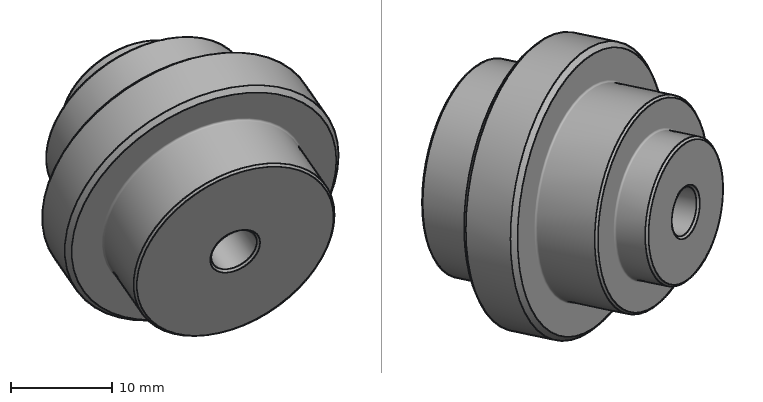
import cadquery as cq

flange_diameter = 30.1
hub_diameter = 22.1
nose_diameter = 15.1
bore_diameter = 5.0

nose_length = 3.73
front_hub_length = 7.0
flange_length = 6.1
rear_hub_length = 6.98

flange_chamfer = 0.5
step_chamfer = 0.25
bore_chamfer = 0.25
root_fillet = 0.2

front_hub_start = nose_length
flange_start = front_hub_start + front_hub_length
flange_end = flange_start + flange_length
rear_end = flange_end + rear_hub_length


def cylinder(start, length, diameter):
    """Solid cylinder along +X."""
    return cq.Workplane("YZ").workplane(offset=start).circle(diameter / 2).extrude(length)


def root_ring(face, direction, diameter):
    """Concave fillet ring where a cylinder leaves a shoulder toward +X (1) or -X (-1)."""
    radius = diameter / 2
    tangent_x = face + direction * root_fillet
    outer_radius = radius + root_fillet
    arc_offset = root_fillet * (1 - 0.5 ** 0.5)
    return (
        cq.Workplane("XY")
        .moveTo(face, radius - root_fillet)
        .lineTo(tangent_x, radius - root_fillet)
        .lineTo(tangent_x, radius)
        .threePointArc((face + direction * arc_offset, radius + arc_offset), (face, outer_radius))
        .close()
        .revolve(360, (0, 0, 0), (1, 0, 0))
    )


nose = cylinder(0, nose_length, nose_diameter).faces("<X").chamfer(step_chamfer)
front_hub = cylinder(front_hub_start, front_hub_length, hub_diameter).faces("<X").chamfer(step_chamfer)
flange = cylinder(flange_start, flange_length, flange_diameter).edges().chamfer(flange_chamfer)
rear_hub = cylinder(flange_end, rear_hub_length, hub_diameter).faces(">X").chamfer(step_chamfer)
body = nose.union(front_hub).union(flange).union(rear_hub)

body = body.union(root_ring(front_hub_start, -1, nose_diameter))
body = body.union(root_ring(flange_start, -1, hub_diameter))
body = body.union(root_ring(flange_end, 1, hub_diameter))

bore = cylinder(0, rear_end, bore_diameter)
body = body.cut(bore)
bore_rims = cq.selectors.BoxSelector(
    (-0.3, -bore_diameter, -bore_diameter),
    (rear_end + 0.3, bore_diameter, bore_diameter),
    boundingbox=True,
)
result = body.edges(bore_rims).edges("%CIRCLE").chamfer(bore_chamfer)